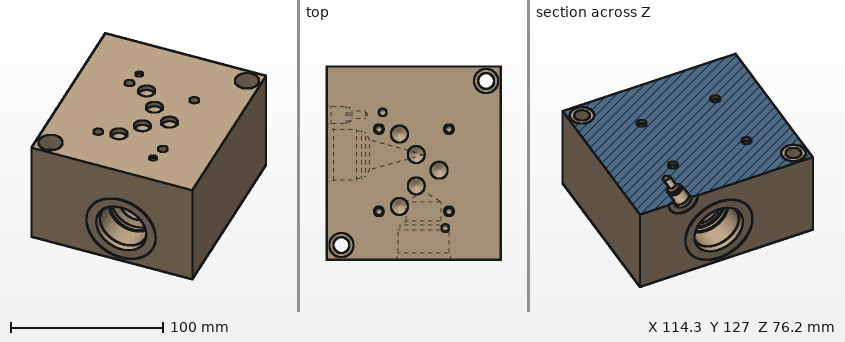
import cadquery as cq
import math

length_x = 114.3
length_y = 127.0
height = 76.2

drill_tip_angle = 118.0
tip_slope = math.tan(math.radians(drill_tip_angle / 2))

pattern_x = 0.1
pattern_y = -4.7
bolt_spacing_x = 46.0
bolt_spacing_y = 54.0
bolt_thread_diameter = 6.4
bolt_core_diameter = 4.8
bolt_thread_depth = 15.2
bolt_core_depth = 19.0

valve_port_diameter = 11.2
valve_port_depth = 3.8
pressure_port_x = 16.6
work_port_x = 1.7
work_port_offset_y = 10.3
tank_port_x = -9.4
tank_port_offset_y = 23.7

pilot_hole_diameter = 5.1
pilot_hole_depth = 1.9
pilot_hole_offset_x = 20.6
pilot_hole_offset_y = 38.0

mount_hole_diameter = 10.3
mount_counterbore_diameter = 15.9
mount_counterbore_depth = 12.7
mount_offset_x = 47.5
mount_offset_y = 53.8

large_port_z = 27.0
front_port_x = 6.5
left_port_y = 5.5
large_spotface_diameter = 49.1
large_seat_diameter = 35.5
large_seat_end_diameter = 33.8
large_seat_depth = 4.1
large_thread_diameter = 33.4
large_thread_depth = 19.7
large_core_diameter = 31.2
large_core_depth = 22.9
left_relief_diameter = 28.6
left_relief_depth = 25.4
front_drill_diameter = 23.0
front_drill_depth = 38.1
left_taper_diameter = 19.5
left_taper_length = 35.5

small_port_y = 31.6
small_port_z = 63.5
small_spotface_diameter = 21.3
small_seat_diameter = 12.5
small_seat_end_diameter = 11.4
small_seat_depth = 2.4
small_thread_diameter = 11.2
small_thread_depth = 12.7
small_core_diameter = 9.9
small_core_depth = 14.0
small_relief_diameter = 9.5
small_relief_depth = 15.2
small_drill_diameter = 5.1
small_drill_depth = 25.4

spotface_depth = 0.5


def bore(face, steps, tip_length=None):
    """Pointed round cutter sunk into a face plane.

    Each step is (start diameter, end diameter, end depth), from the face inwards.
    Conical shoulders are given by a step whose two diameters differ.
    The point has the drill angle unless a tip length is given.
    """
    outline = [(0, 0)]
    depth = 0.0
    for start_diameter, end_diameter, end_depth in steps:
        step_start = (start_diameter / 2, -depth)
        if step_start != outline[-1]:
            outline.append(step_start)
        outline.append((end_diameter / 2, -end_depth))
        depth = end_depth
    if tip_length is None:
        last_diameter = steps[-1][1]
        tip_length = last_diameter / 2 / tip_slope
    outline.append((0, -depth - tip_length))
    cutter = cq.Workplane("XY").polyline(outline).close().revolve(360, (0, 0, 0), (0, 1, 0)).val()
    return cutter.rotate(cq.Vector(0, 0, 0), cq.Vector(1, 0, 0), 90).moved(cq.Location(face))


def straight(diameter, depth):
    """Cylindrical step down to the given depth."""
    return (diameter, diameter, depth)


def shoulder(outer_diameter, inner_diameter, depth):
    """Drill-angle cone that narrows from a bore to a smaller drill."""
    return (outer_diameter, inner_diameter, depth + (outer_diameter - inner_diameter) / 2 / tip_slope)


def top_face(x, y):
    return cq.Plane(origin=(x, y, height), xDir=(1, 0, 0), normal=(0, 0, 1))


def front_face(x, z):
    return cq.Plane(origin=(x, -length_y / 2, z), xDir=(1, 0, 0), normal=(0, -1, 0))


def left_face(y, z):
    return cq.Plane(origin=(-length_x / 2, y, z), xDir=(0, 1, 0), normal=(-1, 0, 0))


def valve_pattern():
    """Bolt holes, flow ports and pilot holes of the valve mounting face."""
    cutters = []
    bolt_steps = [
        straight(bolt_thread_diameter, bolt_thread_depth),
        straight(bolt_core_diameter, bolt_core_depth),
    ]
    for side_x in (-1, 1):
        for side_y in (-1, 1):
            x = pattern_x + side_x * bolt_spacing_x / 2
            y = pattern_y + side_y * bolt_spacing_y / 2
            cutters.append(bore(top_face(x, y), bolt_steps))

    port_places = [(pressure_port_x, pattern_y)]
    for side in (-1, 1):
        port_places.append((work_port_x, pattern_y + side * work_port_offset_y))
        port_places.append((tank_port_x, pattern_y + side * tank_port_offset_y))
    for x, y in port_places:
        cutters.append(bore(top_face(x, y), [straight(valve_port_diameter, valve_port_depth)]))

    for side in (-1, 1):
        x = pattern_x - side * pilot_hole_offset_x
        y = pattern_y + side * pilot_hole_offset_y
        cutters.append(bore(top_face(x, y), [straight(pilot_hole_diameter, pilot_hole_depth)]))
    return cutters


def mounting_holes():
    """Counterbored holes right through the block."""
    steps = [
        straight(mount_counterbore_diameter, mount_counterbore_depth),
        straight(mount_hole_diameter, height),
    ]
    return [bore(top_face(side * mount_offset_x, side * mount_offset_y), steps) for side in (-1, 1)]


large_port_entry = [
    straight(large_spotface_diameter, spotface_depth),
    (large_seat_diameter, large_seat_end_diameter, spotface_depth + large_seat_depth),
    straight(large_thread_diameter, large_thread_depth),
    straight(large_core_diameter, large_core_depth),
]


def front_port():
    """Threaded port that continues as a plain drilled hole."""
    steps = large_port_entry + [
        shoulder(large_core_diameter, front_drill_diameter, large_core_depth),
        straight(front_drill_diameter, front_drill_depth),
    ]
    return bore(front_face(front_port_x, large_port_z), steps)


def left_port():
    """Threaded port that narrows to a long, slender point."""
    steps = large_port_entry + [
        straight(left_relief_diameter, left_relief_depth),
        shoulder(left_relief_diameter, left_taper_diameter, left_relief_depth),
    ]
    return bore(left_face(left_port_y, large_port_z), steps, left_taper_length)


def small_port():
    """Small threaded pilot port with a narrow drill beyond it."""
    steps = [
        straight(small_spotface_diameter, spotface_depth),
        (small_seat_diameter, small_seat_end_diameter, spotface_depth + small_seat_depth),
        straight(small_thread_diameter, small_thread_depth),
        straight(small_core_diameter, small_core_depth),
        straight(small_relief_diameter, small_relief_depth),
        shoulder(small_relief_diameter, small_drill_diameter, small_relief_depth),
        straight(small_drill_diameter, small_drill_depth),
    ]
    return bore(left_face(small_port_y, small_port_z), steps)


result = cq.Workplane("XY").box(length_x, length_y, height, centered=(True, True, False))
for cutter in valve_pattern() + mounting_holes() + [front_port(), left_port(), small_port()]:
    result = result.cut(cq.Workplane(obj=cutter))